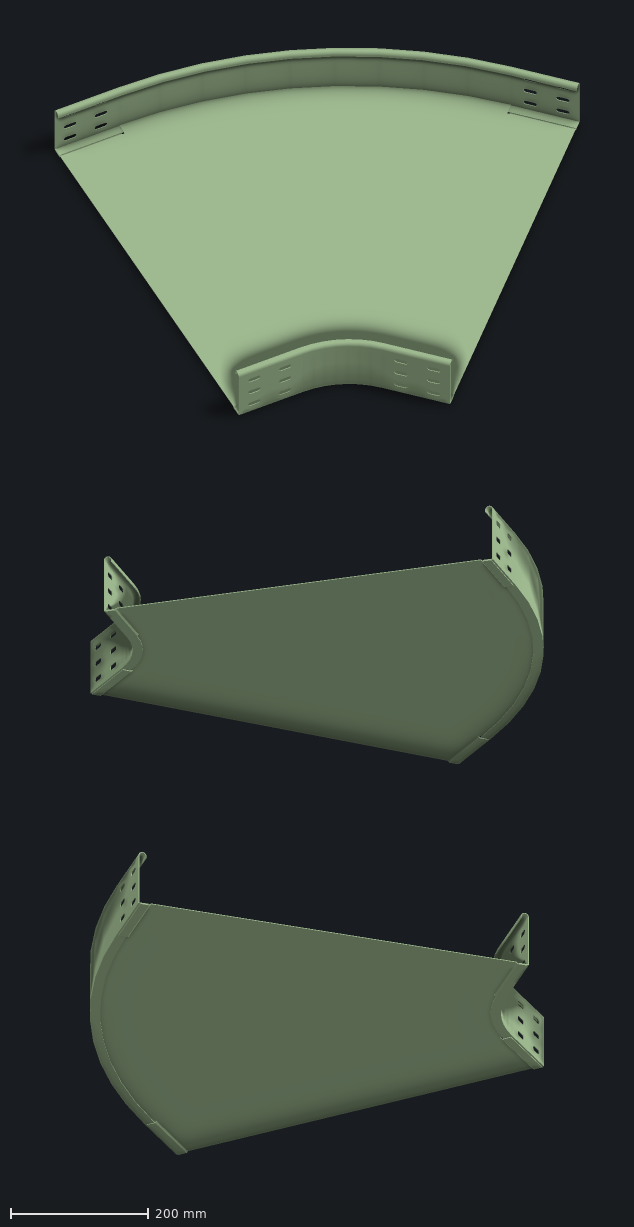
import cadquery as cq
import math


overall_length = 718.0
overall_height = 87.0
clear_width = 597.5
straight_length = 105.0
bend_angle = 45.0
sheet = 1.2

lip_radius = 6.1
lip_depth = 9.0
flange_width = 15.0

slot_length = 20.0
slot_height = 7.0
slot_end_distance = 25.0
slot_column_pitch = 50.0
slot_columns = 2
slot_bottom_distance = 16.0
slot_row_pitch = 25.0
slot_rows = 3

fold_distance = 19.0
tab_inset = 3.0
step_angle = 45.0
relief_gap = 3.0

tray_width = clear_width + 2 * sheet
flange_bottom = sheet
floor_bottom = 2 * sheet
floor_top = 3 * sheet
step_drop = floor_bottom
fold_shift = sheet * math.tan(math.radians(step_angle) / 2)
step_run = step_drop / math.tan(math.radians(step_angle))
bend_sine = math.sin(math.radians(bend_angle))
bend_cosine = math.cos(math.radians(bend_angle))
inner_radius = (overall_length - tray_width - straight_length * bend_sine) / (1 - bend_cosine)
outer_radius = inner_radius + tray_width

OUTER_WALL = (outer_radius, -1)
INNER_WALL = (inner_radius, 1)


def tray_point(wall, inset, height):
    """Point of a tray cross-section, `inset` into the tray from the outside face of the wall."""
    face_radius, inward = wall
    return (-(face_radius + inward * inset), height)


def second_end(first_end):
    """The matching shape at the other end of the bend."""
    return first_end.mirror("XZ").rotate((0, 0, 0), (0, 0, 1), -bend_angle)


def revolve_through_bend(section):
    """Turn a cross-section clockwise about the bend axis, from the straight run along -Y."""
    return section.revolve(bend_angle, (0, 0), (0, -1))


def wall_section(wall):
    """Wall cross-section: bottom flange, upright web and rolled top lip."""
    lip_width = 2 * lip_radius
    lip_centre_height = overall_height - lip_radius

    def at(inset, height):
        return tray_point(wall, inset, height)

    return (
        cq.Workplane("XZ")
        .moveTo(*at(0, flange_bottom))
        .lineTo(*at(0, lip_centre_height))
        .threePointArc(at(lip_radius, overall_height), at(lip_width, lip_centre_height))
        .lineTo(*at(lip_width, overall_height - lip_depth))
        .lineTo(*at(lip_width - sheet, overall_height - lip_depth))
        .lineTo(*at(lip_width - sheet, lip_centre_height))
        .threePointArc(at(lip_radius, overall_height - sheet), at(sheet, lip_centre_height))
        .lineTo(*at(sheet, flange_bottom + sheet))
        .lineTo(*at(flange_width, flange_bottom + sheet))
        .lineTo(*at(flange_width, flange_bottom))
        .close()
    )


def wall_slots(wall):
    """Cutter for the slots through the web of one straight run."""
    face_x = tray_point(wall, sheet / 2, 0)[0]
    centres = [
        (
            -straight_length + slot_end_distance + column * slot_column_pitch,
            slot_bottom_distance + row * slot_row_pitch,
        )
        for column in range(slot_columns)
        for row in range(slot_rows)
    ]
    return (
        cq.Workplane("YZ", origin=(face_x, 0, 0))
        .pushPoints(centres)
        .slot2D(slot_length, slot_height)
        .extrude(sheet, both=True)
    )


def make_wall(wall):
    straight = wall_section(wall).extrude(straight_length).cut(wall_slots(wall))
    curve = revolve_through_bend(wall_section(wall))
    return curve.union(straight).union(second_end(straight)).solids()


def floor_straight():
    """Level part of the floor in one straight run, between its two stepped edges."""
    edge = fold_distance + fold_shift
    return (
        cq.Workplane("XZ")
        .moveTo(*tray_point(OUTER_WALL, edge, floor_bottom))
        .lineTo(*tray_point(INNER_WALL, edge, floor_bottom))
        .lineTo(*tray_point(INNER_WALL, edge, floor_top))
        .lineTo(*tray_point(OUTER_WALL, edge, floor_top))
        .close()
        .extrude(straight_length)
    )


def floor_curve():
    """Level part of the floor in the bend, resting on the flanges of both walls."""
    section = (
        cq.Workplane("XZ")
        .moveTo(*tray_point(OUTER_WALL, sheet, floor_bottom))
        .lineTo(*tray_point(INNER_WALL, sheet, floor_bottom))
        .lineTo(*tray_point(INNER_WALL, sheet, floor_top))
        .lineTo(*tray_point(OUTER_WALL, sheet, floor_top))
        .close()
    )
    return revolve_through_bend(section)


def stepped_edge(wall):
    """Edge of the floor that slopes down to a tab below the wall flange."""
    tab_fold = fold_distance - step_run
    outline = [
        (fold_distance + fold_shift, floor_top),
        (fold_distance, floor_top),
        (tab_fold, sheet),
        (tab_inset, sheet),
        (tab_inset, 0),
        (tab_fold + fold_shift, 0),
        (fold_distance + fold_shift, floor_bottom),
    ]
    return (
        cq.Workplane("XZ", origin=(0, -relief_gap, 0))
        .polyline([tray_point(wall, inset, height) for inset, height in outline])
        .close()
        .extrude(straight_length - relief_gap)
    )


def make_floor():
    end = floor_straight()
    for wall in (OUTER_WALL, INNER_WALL):
        end = end.union(stepped_edge(wall))
    return floor_curve().union(end).union(second_end(end)).solids()


floor_plate = make_floor()
outer_wall = make_wall(OUTER_WALL)
inner_wall = make_wall(INNER_WALL)

result = cq.Compound.makeCompound([floor_plate.val(), outer_wall.val(), inner_wall.val()])